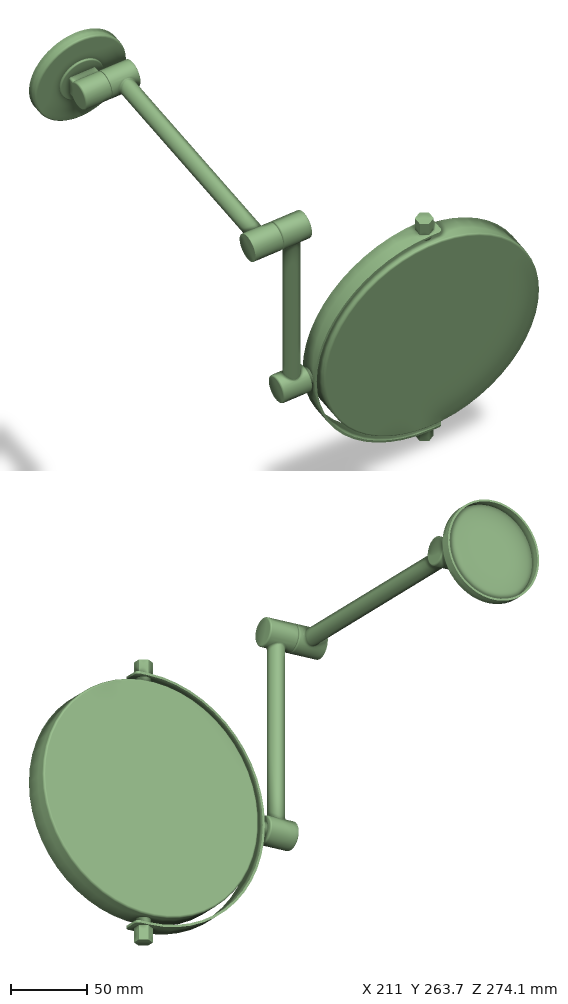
import cadquery as cq
import math


arm_reach = 180.0
arm_drop = 140.0
tube_diameter = 12.0
socket_diameter = 20.0
socket_length = 22.0
socket_edge = 1.0
tube_from_back = 10.1
tube_weld = 1.0

mirror_radius = 82.7
mirror_thickness = 19.2
mirror_edge = 1.5
pivot_diameter = 10.0
knob_across_flats = 10.7
knob_end = 99.0

bow_outer_radius = 88.8
bow_thickness = 1.6
bow_width = 15.0
bow_tip = 9.5
bow_tip_corner = 2.7
stem_diameter = 12.0
bow_gap = 3.0

cup_diameter = 70.1
cup_depth = 8.0
cup_wall = 1.5
cup_edge = 1.5
flange_diameter = 33.5
flange_thickness = 1.6
flange_edge = 0.8
neck_height = 14.2
post_length = 20.3
post_edge = 1.0
wall_to_post = 21.0

hanging_socket_back = -(bow_outer_radius + bow_gap)
level_socket_back = hanging_socket_back - socket_length
post_back = level_socket_back - socket_length
post_front = post_back - post_length
post_middle = (post_back + post_front) / 2
post_x = -arm_reach
wall_x = post_x - wall_to_post
cup_back_x = wall_x + cup_depth
bow_inner_radius = bow_outer_radius - bow_thickness


def cylinder_x(diameter, length, start):
    """Cylinder along +X whose first end is centred on the point start."""
    return cq.Workplane("YZ", origin=start).circle(diameter / 2).extrude(length)


def socket(x, z, back, rounded_ends):
    """Socket along Y whose +Y end lies at y = back, with a fillet on the chosen ends."""
    body = cq.Workplane("XZ", origin=(x, back, z)).circle(socket_diameter / 2).extrude(socket_length)
    return body.faces(rounded_ends).edges().fillet(socket_edge)


def make_arm(first, second, back, rounded_ends):
    """Tube that joins two sockets, given the (x, z) of each socket axis."""
    tube_y = back - tube_from_back
    start = cq.Vector(first[0], tube_y, first[1])
    run = cq.Vector(second[0], tube_y, second[1]) - start
    arm = cq.Workplane(cq.Solid.makeCylinder(tube_diameter / 2, run.Length, start, run))
    for x, z in (first, second):
        arm = arm.union(socket(x, z, back, rounded_ends))
    weld_edges = arm.edges("%BSPLINE")
    return weld_edges.fillet(tube_weld)


def make_cup():
    """Thin round cup, open towards the wall."""
    cup = cylinder_x(cup_diameter, cup_depth, (wall_x, post_middle, arm_drop))
    cup = cup.faces(">X").edges().fillet(cup_edge)
    inside_diameter = cup_diameter - 2 * cup_wall
    return cup.cut(cylinder_x(inside_diameter, cup_depth - cup_wall, (wall_x, post_middle, arm_drop)))


def make_post():
    """Flange against the cup, with a flat-sided neck that ends in the round post."""
    flange = cylinder_x(flange_diameter, flange_thickness, (cup_back_x, post_middle, arm_drop))
    flange = flange.faces(">X").edges().fillet(flange_edge)
    neck_length = post_x - cup_back_x
    post_plane = cq.Workplane("XZ", origin=(post_x, post_back, arm_drop))
    neck = post_plane.center(-neck_length / 2, 0).rect(neck_length, neck_height).extrude(post_length)
    post = post_plane.circle(socket_diameter / 2).extrude(post_length)
    head = neck.union(post).faces("<Y or >Y").edges().fillet(post_edge)
    return flange.union(head)


def make_bow():
    """Half ring around the mirror, with pivot holes near its tips and a stem to the socket."""
    plane = cq.Workplane("YZ", origin=(-bow_width / 2, 0, 0))
    bow = (
        plane.moveTo(bow_tip, bow_outer_radius)
        .lineTo(0, bow_outer_radius)
        .threePointArc((-bow_outer_radius, 0), (0, -bow_outer_radius))
        .lineTo(bow_tip, -bow_outer_radius)
        .lineTo(bow_tip, -bow_inner_radius)
        .lineTo(0, -bow_inner_radius)
        .threePointArc((-bow_inner_radius, 0), (0, bow_inner_radius))
        .lineTo(bow_tip, bow_inner_radius)
        .close()
        .extrude(bow_width)
    )
    bow = bow.faces(">Y").edges("|Z").fillet(bow_tip_corner)
    bow_middle_radius = bow_outer_radius - bow_thickness / 2
    stem_length = -bow_middle_radius - hanging_socket_back
    stem = cq.Workplane("XZ", origin=(0, hanging_socket_back + stem_length, 0))
    bow = bow.union(stem.circle(stem_diameter / 2).extrude(stem_length))
    holes = cq.Workplane("XY").circle(pivot_diameter / 2).extrude(knob_end, both=True)
    return bow.cut(holes)


def make_mirror():
    """Round mirror with a pivot and a hexagonal knob at its top and bottom."""
    mirror = cylinder_x(2 * mirror_radius, mirror_thickness, (-mirror_thickness / 2, 0, 0))
    mirror = mirror.faces("<X or >X").edges().fillet(mirror_edge)
    pivots = cq.Workplane("XY").circle(pivot_diameter / 2).extrude(bow_outer_radius, both=True)
    mirror = mirror.union(pivots)
    knob_diameter = knob_across_flats / math.cos(math.pi / 6)
    for side in (1, -1):
        knob = cq.Workplane("XY", origin=(0, 0, side * bow_outer_radius)).polygon(6, knob_diameter)
        mirror = mirror.union(knob.extrude(side * (knob_end - bow_outer_radius)))
    return mirror


wall_cup = make_cup()
wall_post = make_post()
level_arm = make_arm((post_x, arm_drop), (0, arm_drop), level_socket_back, ">Y")
hanging_arm = make_arm((0, arm_drop), (0, 0), hanging_socket_back, "<Y or >Y")
bow = make_bow()
mirror = make_mirror()

bodies = [wall_cup, wall_post, level_arm, hanging_arm, bow, mirror]
result = cq.Compound.makeCompound([body.solids().val() for body in bodies])